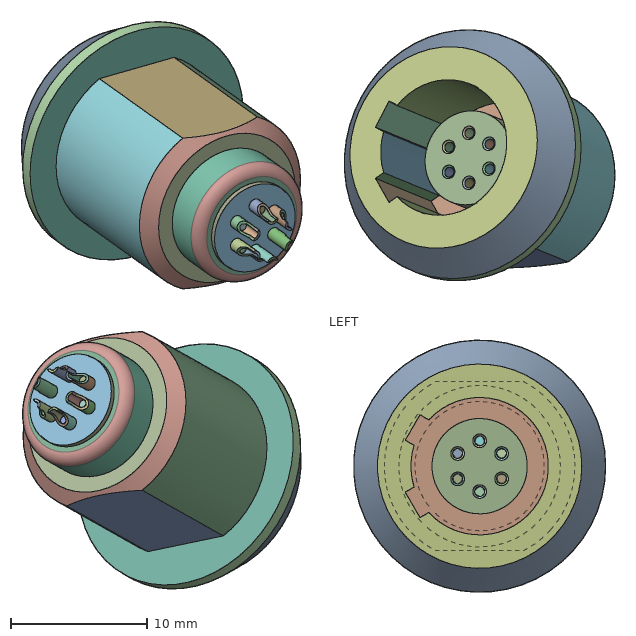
import cadquery as cq
import math

BEVEL_END = 2.97
FLANGE_END = 4.0
BODY_END = 16.4
COLLAR_END = 19.82
INSULATOR_END = 20.23
PIN_END = 22.7

FACE_RADIUS = 7.5
FLANGE_DIAMETER = 18.5
FLANGE_RADIUS = FLANGE_DIAMETER / 2
BODY_RADIUS = 7.0
BODY_CHAMFER_LENGTH = 0.95
BODY_CHAMFER_HEIGHT = 1.07
FLAT_HEIGHT = 6.2
COLLAR_RADIUS = 4.75
COLLAR_FILLET = 0.85
INSULATOR_RADIUS = 3.5

BORE_RADIUS = 5.05
BORE_DEPTH = 10.22
INSULATOR_FACE = 4.6
KEYWAY_WIDTH = 2.15
KEYWAY_REACH = 5.68
KEYWAY_ANGLES = (-30, 30)

CONTACT_COUNT = 6
CONTACT_CIRCLE_RADIUS = 1.86
CONTACT_HOLE_RADIUS = 0.36
CONTACT_HOLE_DEPTH = 2.27
COUNTERSINK_RADIUS = 0.5
PIN_RADIUS = 0.5

CUP_START = 21.1
CUP_RUNOUT = 22.15
CUP_RIM_DROP = 0.18
CUP_BORE_RADIUS = 0.32


def cylinder(start, end, radius, offset=0.0):
    """Cylinder along X, its axis raised by offset in Z."""
    return cq.Workplane("YZ", origin=(start, 0, offset)).circle(radius).extrude(end - start)


def turn_about_axis(shape, angle):
    return shape.rotate((0, 0, 0), (1, 0, 0), angle)


def make_flange():
    return (
        cq.Workplane("XY")
        .moveTo(0, 0)
        .lineTo(0, -FACE_RADIUS)
        .lineTo(BEVEL_END, -FLANGE_RADIUS)
        .lineTo(FLANGE_END, -FLANGE_RADIUS)
        .lineTo(FLANGE_END, 0)
        .close()
        .revolve(360, (0, 0, 0), (1, 0, 0))
    )


def make_body():
    """Chamfered barrel with a flat on top and underneath."""
    barrel = (
        cq.Workplane("XY")
        .moveTo(FLANGE_END, 0)
        .lineTo(FLANGE_END, -BODY_RADIUS)
        .lineTo(BODY_END - BODY_CHAMFER_LENGTH, -BODY_RADIUS)
        .lineTo(BODY_END, BODY_CHAMFER_HEIGHT - BODY_RADIUS)
        .lineTo(BODY_END, 0)
        .close()
        .revolve(360, (0, 0, 0), (1, 0, 0))
    )
    between_flats = cq.Workplane("XY").box(2 * BODY_END, 2 * BODY_RADIUS, 2 * FLAT_HEIGHT)
    return barrel.intersect(between_flats)


def make_collar():
    return cylinder(BODY_END, COLLAR_END, COLLAR_RADIUS).faces(">X").edges().fillet(COLLAR_FILLET)


def make_socket_bore():
    bore = cylinder(0, BORE_DEPTH, BORE_RADIUS)
    for angle in KEYWAY_ANGLES:
        keyway = cq.Workplane("XY").box(
            BORE_DEPTH, KEYWAY_REACH, KEYWAY_WIDTH, centered=(False, False, True)
        )
        bore = bore.union(turn_about_axis(keyway, angle))
    return bore


def make_contact_hole():
    """Blind hole in the insulator face with a 45 degree countersink."""
    countersink_depth = COUNTERSINK_RADIUS - CONTACT_HOLE_RADIUS
    return (
        cq.Workplane("XZ")
        .moveTo(INSULATOR_FACE, 0)
        .lineTo(INSULATOR_FACE, COUNTERSINK_RADIUS)
        .lineTo(INSULATOR_FACE + countersink_depth, CONTACT_HOLE_RADIUS)
        .lineTo(INSULATOR_FACE + CONTACT_HOLE_DEPTH, CONTACT_HOLE_RADIUS)
        .lineTo(INSULATOR_FACE + CONTACT_HOLE_DEPTH, 0)
        .close()
        .revolve(360, (0, 0, 0), (1, 0, 0))
        .translate((0, 0, CONTACT_CIRCLE_RADIUS))
    )


def make_pin():
    """Solder-cup pin on the +Z side, open away from the connector axis."""
    pin = cylinder(COLLAR_END, PIN_END, PIN_RADIUS, CONTACT_CIRCLE_RADIUS)
    rim = CONTACT_CIRCLE_RADIUS - CUP_RIM_DROP
    top = CONTACT_CIRCLE_RADIUS + PIN_RADIUS
    run = CUP_RUNOUT - CUP_START
    rise = top - rim
    arc_radius = (run**2 + rise**2) / (2 * rise)
    half_angle = math.asin(run / arc_radius) / 2
    arc_middle = (
        CUP_RUNOUT - arc_radius * math.sin(half_angle),
        rim + arc_radius * (1 - math.cos(half_angle)),
    )
    scoop = (
        cq.Workplane("XZ")
        .moveTo(CUP_START, top)
        .threePointArc(arc_middle, (CUP_RUNOUT, rim))
        .lineTo(PIN_END, rim)
        .lineTo(PIN_END, top)
        .close()
        .extrude(PIN_RADIUS, both=True)
    )
    cup_bore = cylinder(CUP_START, PIN_END, CUP_BORE_RADIUS, CONTACT_CIRCLE_RADIUS)
    return pin.cut(scoop).cut(cup_bore)


shell = make_flange().union(make_body()).union(make_collar())
insulator = cylinder(INSULATOR_FACE, INSULATOR_END, INSULATOR_RADIUS)
result = shell.cut(make_socket_bore()).union(insulator)

for index in range(CONTACT_COUNT):
    contact_angle = index * 360 / CONTACT_COUNT
    result = result.cut(turn_about_axis(make_contact_hole(), contact_angle))
    result = result.union(turn_about_axis(make_pin(), contact_angle))